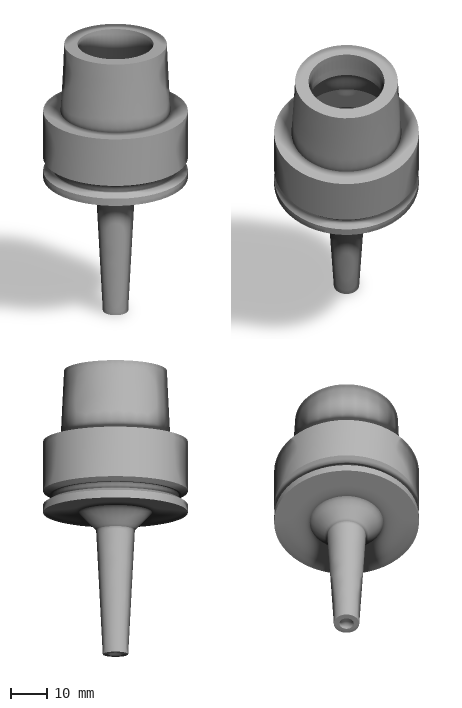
import cadquery as cq
import math

total_height = 80.0
flange_bottom = 40.0
flange_top = 60.0
shank_height = 35.0

flange_radius = 20.0
taper_large_radius = 15.2
taper_slope = 0.05
shank_tip_radius = 3.5
shank_half_angle = 3.0
collar_radius = 10.2

groove_center = 44.1
groove_mouth_width = 3.8
groove_floor_width = 1.8
groove_floor_radius = 17.5
groove_flank_angle = 30.0

mouth_radius = 10.5
mouth_depth = 8.0
undercut_radius = 12.8
undercut_depth = 16.0
thread_radius = 6.0
thread_depth = 12.0
relief_radius = 2.5
clamp_radius = 2.0
clamp_length = 20.0

taper_small_radius = taper_large_radius - taper_slope * (total_height - flange_top)
shank_top_radius = shank_tip_radius + shank_height * math.tan(math.radians(shank_half_angle))


def revolve_outline(points):
    """Turn a closed (radius, height) outline around the Z axis."""
    return cq.Workplane("YZ").polyline(points).close().revolve(360, (0, 0), (0, 1))


def make_body():
    """Solid holder: nose shank, cone, flange and hollow-shank taper."""
    return revolve_outline([
        (0, 0),
        (shank_tip_radius, 0),
        (shank_top_radius, shank_height),
        (collar_radius, flange_bottom),
        (flange_radius, flange_bottom),
        (flange_radius, flange_top),
        (taper_large_radius, flange_top),
        (taper_small_radius, total_height),
        (0, total_height),
    ])


def make_groove():
    """Ring with sloped flanks that open onto the rim, and a straight-sided floor."""
    flank_height = (groove_mouth_width - groove_floor_width) / 2
    flank_radius = flange_radius - flank_height / math.tan(math.radians(groove_flank_angle))
    mouth_low = groove_center - groove_mouth_width / 2
    mouth_high = groove_center + groove_mouth_width / 2
    floor_low = groove_center - groove_floor_width / 2
    floor_high = groove_center + groove_floor_width / 2
    return revolve_outline([
        (groove_floor_radius, floor_low),
        (flank_radius, floor_low),
        (flange_radius, mouth_low),
        (flange_radius, mouth_high),
        (flank_radius, floor_high),
        (groove_floor_radius, floor_high),
    ])


def make_bores():
    """Stepped cavity that runs from the top face through the nose tip."""
    mouth_floor = total_height - mouth_depth
    undercut_floor = total_height - undercut_depth
    thread_floor = undercut_floor - thread_depth
    return revolve_outline([
        (0, 0),
        (clamp_radius, 0),
        (clamp_radius, clamp_length),
        (relief_radius, clamp_length),
        (relief_radius, thread_floor),
        (thread_radius, thread_floor),
        (thread_radius, undercut_floor),
        (undercut_radius, undercut_floor),
        (undercut_radius, mouth_floor),
        (mouth_radius, mouth_floor),
        (mouth_radius, total_height),
        (0, total_height),
    ])


result = make_body().cut(make_groove()).cut(make_bores())